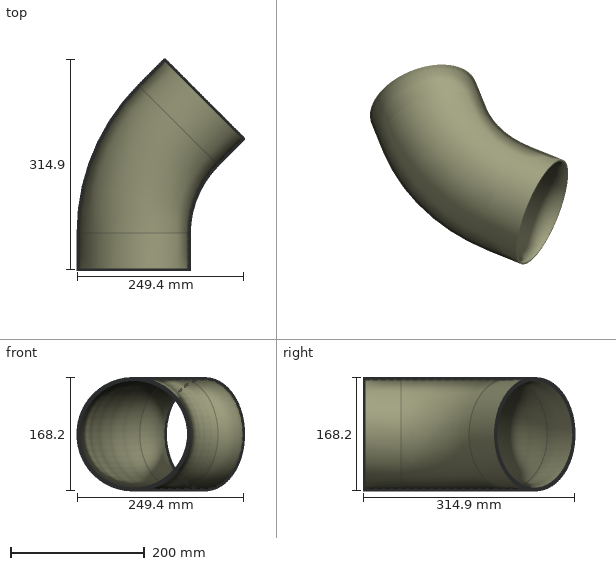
import cadquery as cq
import math

outer_diameter = 168.2
inner_diameter = 163.0
bend_radius = 228.5
bend_angle = 45
collar_length = 55.0

bend_centre = (bend_radius, collar_length)
angle = math.radians(bend_angle)
bend_end = (
    bend_centre[0] - bend_radius * math.cos(angle),
    bend_centre[1] + bend_radius * math.sin(angle),
)
outlet_direction = (math.sin(angle), math.cos(angle), 0)


def elbow(diameter):
    """Solid elbow of round section, starting at the origin and heading along +Y."""
    inlet_plane = cq.Plane(origin=(0, 0, 0), xDir=(1, 0, 0), normal=(0, 1, 0))
    bend_plane = cq.Plane(origin=(0, collar_length, 0), xDir=(1, 0, 0), normal=(0, 1, 0))
    outlet_plane = cq.Plane(origin=(*bend_end, 0), xDir=(0, 0, 1), normal=outlet_direction)

    inlet = cq.Workplane(inlet_plane).circle(diameter / 2).extrude(collar_length)
    bend = (
        cq.Workplane(bend_plane)
        .circle(diameter / 2)
        .revolve(bend_angle, (bend_radius, 0), (bend_radius, 1))
    )
    outlet = cq.Workplane(outlet_plane).circle(diameter / 2).extrude(collar_length)
    return inlet.union(bend).union(outlet)


result = elbow(outer_diameter).cut(elbow(inner_diameter))